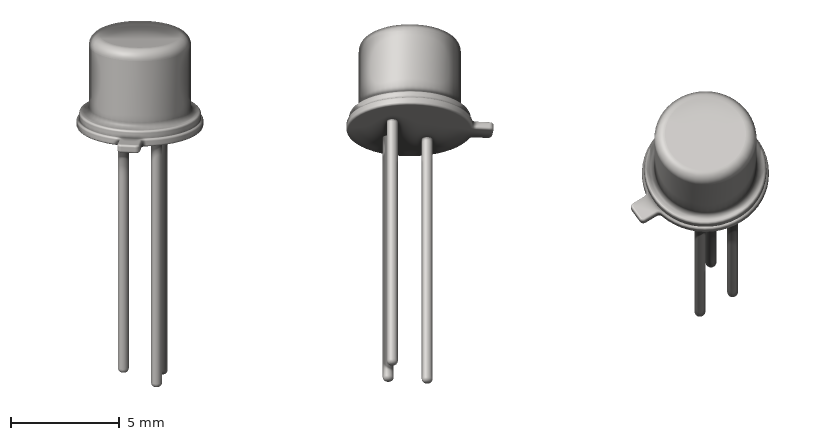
import cadquery as cq
import math

total_height = 16.78
can_height = 4.46
lead_length = total_height - can_height

can_radius = 2.35
can_top_round = 0.49
can_foot_round = 0.23

flange_radius = 2.92
flange_height = 0.39
shoulder_radius = 2.8
shoulder_top = 0.74
edge_round = 0.1

tab_reach = 3.85
tab_width = 1.05
tab_corner_round = 0.2
tab_root_round = 0.2
tab_angle = -45.0

lead_radius = 0.25
lead_tip_round = 0.2
lead_circle_radius = 1.28
lead_angles = (0, 90, 180)


def make_flange():
    """Round flange with its tab, all rim edges rounded."""
    disc = cq.Workplane("XY").circle(flange_radius).extrude(flange_height)
    tab = (
        cq.Workplane("XY")
        .rect(tab_reach, tab_width)
        .extrude(flange_height)
        .translate((tab_reach / 2, 0, 0))
        .edges("|Z and >X")
        .fillet(tab_corner_round)
    )
    flange = disc.union(tab)

    half_width = tab_width / 2
    root_x = math.sqrt(flange_radius**2 - half_width**2)
    for side in (-1, 1):
        root_point = (root_x, side * half_width, flange_height / 2)
        root_edge = cq.selectors.NearestToPointSelector(root_point)
        flange = flange.edges("|Z").edges(root_edge).fillet(tab_root_round)

    flange = flange.faces("<Z or >Z").edges().fillet(edge_round)
    return flange.rotate((0, 0, 0), (0, 0, 1), tab_angle)


def make_can():
    """Shoulder and can, revolved from one half profile."""
    arc_cosine = math.cos(math.radians(45))
    foot_arc_offset = can_foot_round * (1 - arc_cosine)
    top_arc_offset = can_top_round * (1 - arc_cosine)
    shoulder_arc_offset = edge_round * (1 - arc_cosine)
    profile = (
        cq.Workplane("XZ")
        .moveTo(0, flange_height / 2)
        .lineTo(shoulder_radius, flange_height / 2)
        .lineTo(shoulder_radius, shoulder_top - edge_round)
        .threePointArc(
            (shoulder_radius - shoulder_arc_offset, shoulder_top - shoulder_arc_offset),
            (shoulder_radius - edge_round, shoulder_top),
        )
        .lineTo(can_radius + can_foot_round, shoulder_top)
        .threePointArc(
            (can_radius + foot_arc_offset, shoulder_top + foot_arc_offset),
            (can_radius, shoulder_top + can_foot_round),
        )
        .lineTo(can_radius, can_height - can_top_round)
        .threePointArc(
            (can_radius - top_arc_offset, can_height - top_arc_offset),
            (can_radius - can_top_round, can_height),
        )
        .lineTo(0, can_height)
        .close()
    )
    return profile.revolve(360, (0, 0), (0, 1))


def make_housing():
    return make_flange().union(make_can())


def make_lead(angle):
    """Round-tipped lead hanging from the flange underside."""
    x = lead_circle_radius * math.cos(math.radians(angle))
    y = lead_circle_radius * math.sin(math.radians(angle))
    lead = cq.Workplane("XY").circle(lead_radius).extrude(-lead_length)
    return lead.faces("<Z").edges().fillet(lead_tip_round).translate((x, y, 0))


housing = make_housing()
leads = [make_lead(angle) for angle in lead_angles]

result = cq.Compound.makeCompound([housing.val(), *[lead.val() for lead in leads]])